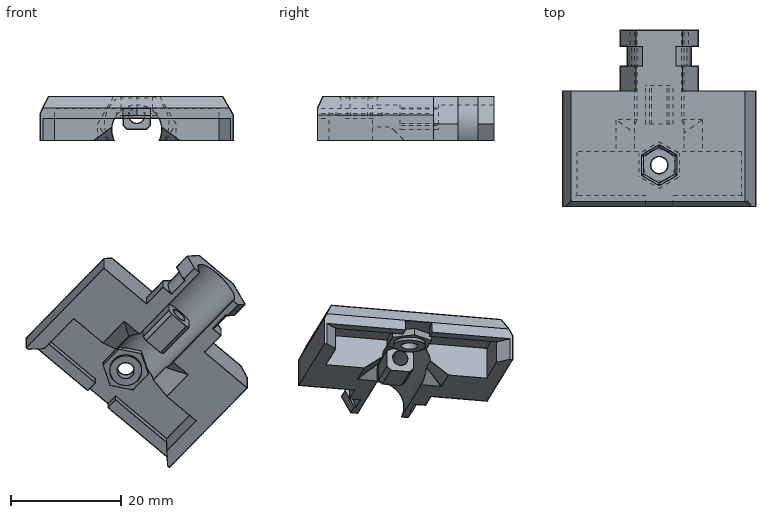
import cadquery as cq
import math

hood_width = 35.0
hood_depth = 21.0
height = 8.0
half_width = hood_width / 2
front_y = -hood_depth

left_run, left_drop = 1.5, 3.08
right_run, right_drop = 1.92, 3.35
front_run, front_drop = 0.98, 2.15

rim_height = 4.0
lip_thickness = 0.5
mouth_taper = 2.05
wall_thickness = lip_thickness + mouth_taper
roof_height = 5.8
chamber_rear = -11.0
front_notch_width = 4.95

sleeve_length = 11.0
sleeve_overlap = 0.95
sleeve_radius = 7.07
sleeve_axis_height = 3.0
groove_radius = 5.85
groove_start = 4.45
groove_end = 8.05
bore_radius = 4.5
bore_axis_height = 1.95

flare_half_width = 7.8
flare_peak = 5.75
flare_depth = flare_peak

tab_width = front_notch_width
tab_front = -6.02
tab_rear = 0.95
tab_bottom = 2.03
tab_chamfer = 0.7
tab_hole_radius = 1.4
tab_hole_height = 4.5

screw_y = -13.48
screw_radius = 1.55
nut_radius = 3.25
nut_rim_radius = 3.7
nut_bevel_depth = 0.3
nut_floor = roof_height
nut_boss_radius = 4.2
nut_boss_bottom = 4.55
screw_boss_radius = 2.9


def block(x_min, x_max, y_min, y_max, z_min, z_max):
    """Box given by its limits along each axis."""
    return cq.Workplane("XY").box(
        x_max - x_min, y_max - y_min, z_max - z_min, centered=False
    ).translate((x_min, y_min, z_min))


def centred_block(width, y_min, y_max, z_min, z_max):
    """Box placed symmetrically about the mid-plane."""
    return block(-width / 2, width / 2, y_min, y_max, z_min, z_max)


def across(y_start):
    """Workplane facing +Y, with local coordinates (-X, Z)."""
    return cq.Workplane("XZ", origin=(0, y_start, 0)).transformed(rotate=(0, 180, 0))


def rod(radius, axis_height, y_start, y_end):
    """Round bar along Y."""
    return across(y_start).center(0, axis_height).circle(radius).extrude(y_end - y_start)


def hexagon(radius, z_start):
    """Hexagon around the screw axis with a corner toward -Y."""
    corner_angles = [math.radians(90 + 60 * i) for i in range(6)]
    corners = [(radius * math.cos(angle), radius * math.sin(angle)) for angle in corner_angles]
    return cq.Workplane("XY", origin=(0, screw_y, z_start)).polyline(corners).close()


def hood_shell():
    """Outer hood with three sloped upper edges."""
    body = across(front_y).polyline([
        (half_width, 0),
        (half_width, height - left_drop),
        (half_width - left_run, height),
        (right_run - half_width, height),
        (-half_width, height - right_drop),
        (-half_width, 0),
    ]).close().extrude(hood_depth)
    front_edge = cq.Workplane("YZ", origin=(-half_width, 0, 0)).polyline([
        (front_y, height - front_drop),
        (front_y, height),
        (front_y + front_run, height),
    ]).close().extrude(hood_width)
    return body.cut(front_edge)


def hollow():
    """Tapered front mouth, deeper chamber behind it and a notch in the front rim."""
    inner_half = half_width - wall_thickness
    mouth_half = half_width - lip_thickness
    chamber_front = front_y + mouth_taper
    mouth = cq.Workplane("XY").polyline([
        (-mouth_half, front_y),
        (mouth_half, front_y),
        (inner_half, chamber_front),
        (-inner_half, chamber_front),
    ]).close().extrude(rim_height)
    chamber = block(-inner_half, inner_half, chamber_front, chamber_rear, 0, roof_height)
    notch = centred_block(front_notch_width, front_y, chamber_front, 0, roof_height)
    return mouth.union(chamber).union(notch)


def sleeve():
    """Hexagonal sleeve with a straight-sided root and a round tie groove."""
    hexagonal = across(-sleeve_overlap).center(0, sleeve_axis_height).polygon(
        6, 2 * sleeve_radius
    ).extrude(sleeve_overlap + sleeve_length)
    limits = centred_block(2 * sleeve_radius, -sleeve_overlap, sleeve_length, 0, height)
    root = centred_block(2 * sleeve_radius, -sleeve_overlap, groove_start, 0, sleeve_axis_height)
    groove = centred_block(2 * sleeve_radius, groove_start, groove_end, 0, height).cut(
        rod(groove_radius, sleeve_axis_height, groove_start, groove_end)
    )
    return hexagonal.intersect(limits).union(root).cut(groove)


def flare():
    """Wedge that widens the bore toward the hollow."""
    gable = across(chamber_rear).polyline([
        (-flare_half_width, 0),
        (0, flare_peak),
        (flare_half_width, 0),
    ]).close().extrude(flare_depth)
    wedge = cq.Workplane("YZ", origin=(-flare_half_width, 0, 0)).polyline([
        (chamber_rear, 0),
        (chamber_rear, flare_peak),
        (chamber_rear + flare_depth, 0),
    ]).close().extrude(2 * flare_half_width)
    return gable.intersect(wedge)


def tab():
    """Pierced tab hanging from the roof, bevelled along its lower edges."""
    plain = centred_block(tab_width, tab_front, tab_rear, tab_bottom, height)
    bevelled = plain.faces("<Z").edges("|Y").chamfer(tab_chamfer)
    return bevelled.cut(rod(tab_hole_radius, tab_hole_height, tab_front, tab_rear))


def nut_boss():
    """Hexagonal boss under the nut, stepped down to a round boss around the screw."""
    nut_part = hexagon(nut_boss_radius, nut_boss_bottom).extrude(nut_floor - nut_boss_bottom)
    screw_part = cq.Workplane("XY", origin=(0, screw_y, rim_height)).circle(
        screw_boss_radius
    ).extrude(nut_floor - rim_height)
    return nut_part.union(screw_part)


def nut_pocket():
    """Hexagonal pocket with a bevelled rim and a through hole for the screw."""
    pocket = hexagon(nut_radius, nut_floor).extrude(height - nut_floor)
    flat_growth = (nut_rim_radius - nut_radius) * math.cos(math.radians(30))
    bevel_angle = math.degrees(math.atan2(flat_growth, nut_bevel_depth))
    bevel = hexagon(nut_radius, height - nut_bevel_depth).extrude(nut_bevel_depth, taper=-bevel_angle)
    hole = cq.Workplane("XY", origin=(0, screw_y, 0)).circle(screw_radius).extrude(height)
    return pocket.union(bevel).union(hole)


result = hood_shell().cut(hollow()).union(sleeve())
result = result.cut(rod(bore_radius, bore_axis_height, chamber_rear, sleeve_length)).cut(flare())
result = result.union(tab()).union(nut_boss()).cut(nut_pocket())